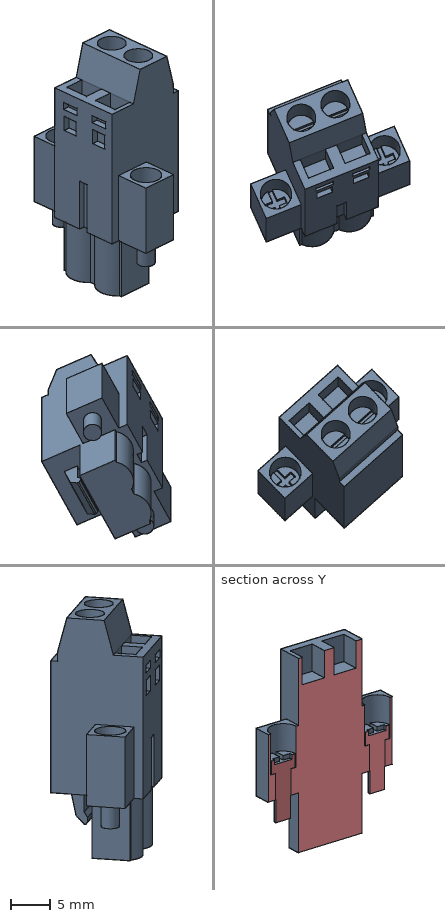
import cadquery as cq


BODY_WIDTH = 10.25
BODY_DEPTH = 12.2
BODY_BOTTOM = 8.35
SHOULDER_Z = 27.25
BODY_TOP = 31.8
REAR_STEP_Z = 25.95
REAR_STEP_DEPTH = 0.92
CREST_FRONT_Y = -0.95
CREST_REAR_Y = 3.98
CREST_FOOT_Y = -2.15
FRONT_Y = -BODY_DEPTH / 2
REAR_Y = BODY_DEPTH / 2

OVERALL_WIDTH = 19.97
FLANGE_WIDTH = (OVERALL_WIDTH - BODY_WIDTH) / 2
FLANGE_DEPTH = 5.1
FLANGE_TOP = 17.87
FLANGE_Y = -2.35
FLANGE_X = (OVERALL_WIDTH - FLANGE_WIDTH) / 2

PLUG_REAR_Y = 0.67
PLUG_FRONT_Y = -4.4
LOBE_BULGE = 1.02
LOBE_WIDTH = 4.45
LOBE_PITCH = 5.15

HOOK_WIDTH = 5.1
HOOK_ROOT_REAR_Y = 4.13
HOOK_FRONT_Y = 2.3
HOOK_BEND_Y = 3.37
HOOK_TIP_REAR_Y = 2.3
HOOK_TIP_FRONT_Y = 2.07
HOOK_NOSE_Y = 1.85
HOOK_THROAT_Z = 5.37
HOOK_BEND_Z = 4.8
HOOK_NOSE_TOP_Z = 4.65
HOOK_NOSE_BOTTOM_Z = 4.1
HOOK_TIP_Z = 3.72

ENTRY_PITCH = 5.1
ENTRY_OFFSET = 0.2
ENTRY_XS = [ENTRY_OFFSET - ENTRY_PITCH / 2, ENTRY_OFFSET + ENTRY_PITCH / 2]
POCKET_WIDTH = 3.5
POCKET_FRONT_Y = -4.9
POCKET_DEPTH = 3.82
WINDOW_DEPTH = 0.92
UPPER_WINDOW_WIDTH = 2.4
UPPER_WINDOW_BOTTOM = 24.7
UPPER_WINDOW_HEIGHT = 1.02
LOWER_WINDOW_WIDTH = 2.13
LOWER_WINDOW_BOTTOM = 21.7
LOWER_WINDOW_HEIGHT = 2.05

CODING_SLOT_WIDTH = 1.3
CODING_SLOT_DEPTH = 0.8
CODING_SLOT_TOP = 15.33

TERMINAL_PITCH = 4.75
TERMINAL_XS = [-TERMINAL_PITCH / 2, TERMINAL_PITCH / 2]
TERMINAL_Y = 1.55
TERMINAL_DIAMETER = 3.7
TERMINAL_RECESS = 4.45
TERMINAL_LENGTH = 3.18
TERMINAL_TOP = BODY_TOP - TERMINAL_RECESS
TERMINAL_BOTTOM = TERMINAL_TOP - TERMINAL_LENGTH
TERMINAL_SLOT_WIDTH = 0.5
DRIVE_DEPTH = 0.65

FLANGE_XS = [-FLANGE_X, FLANGE_X]
COUNTERBORE_DIAMETER = 4.0
HEAD_DIAMETER = 3.88
HEAD_RECESS = 3.82
HEAD_HEIGHT = 1.9
HEAD_TOP = FLANGE_TOP - HEAD_RECESS
HEAD_BOTTOM = HEAD_TOP - HEAD_HEIGHT
SHANK_DIAMETER = 2.35
SHANK_BOTTOM = 5.15
HEAD_SLOT_WIDTH = 0.6
CROSS_LENGTH = 2.75
CROSS_WIDTH = 0.83


def block(x_range, y_range, z_range):
    """Box between the given pairs of limits."""
    (x0, x1), (y0, y1), (z0, z1) = x_range, y_range, z_range
    return cq.Workplane("XY").box(x1 - x0, y1 - y0, z1 - z0, centered=False).translate((x0, y0, z0))


def centred(middle, size):
    """Limits of a stretch of the given size around its middle."""
    return middle - size / 2, middle + size / 2


def cylinder(x, y, diameter, bottom, top):
    """Upright cylinder between two heights."""
    return cq.Workplane("XY", origin=(x, y, bottom)).circle(diameter / 2).extrude(top - bottom)


def side_extrusion(points, width):
    """Closed Y-Z outline extruded along X, centred on the middle plane."""
    return cq.Workplane("YZ").polyline(points).close().extrude(width / 2, both=True)


def make_main_block():
    crest_rear_foot_y = REAR_Y - REAR_STEP_DEPTH
    return side_extrusion([
        (FRONT_Y, BODY_BOTTOM),
        (FRONT_Y, SHOULDER_Z),
        (CREST_FOOT_Y, SHOULDER_Z),
        (CREST_FRONT_Y, BODY_TOP),
        (CREST_REAR_Y, BODY_TOP),
        (crest_rear_foot_y, SHOULDER_Z),
        (crest_rear_foot_y, REAR_STEP_Z),
        (REAR_Y, REAR_STEP_Z),
        (REAR_Y, BODY_BOTTOM),
    ], BODY_WIDTH)


def make_hook():
    return side_extrusion([
        (HOOK_ROOT_REAR_Y, BODY_BOTTOM),
        (HOOK_BEND_Y, HOOK_BEND_Z),
        (HOOK_TIP_REAR_Y, HOOK_TIP_Z),
        (HOOK_TIP_FRONT_Y, HOOK_TIP_Z),
        (HOOK_NOSE_Y, HOOK_NOSE_BOTTOM_Z),
        (HOOK_NOSE_Y, HOOK_NOSE_TOP_Z),
        (HOOK_FRONT_Y, HOOK_THROAT_Z),
        (HOOK_FRONT_Y, BODY_BOTTOM),
    ], HOOK_WIDTH)


def make_plug():
    outline = cq.Workplane("XY").moveTo(-BODY_WIDTH / 2, PLUG_REAR_Y).lineTo(-BODY_WIDTH / 2, PLUG_FRONT_Y)
    for lobe_x in (-LOBE_PITCH / 2, LOBE_PITCH / 2):
        left, right = centred(lobe_x, LOBE_WIDTH)
        outline = outline.lineTo(left, PLUG_FRONT_Y)
        outline = outline.threePointArc((lobe_x, PLUG_FRONT_Y - LOBE_BULGE), (right, PLUG_FRONT_Y))
    outline = outline.lineTo(BODY_WIDTH / 2, PLUG_FRONT_Y).lineTo(BODY_WIDTH / 2, PLUG_REAR_Y)
    return outline.close().extrude(BODY_BOTTOM)


def make_flange(x):
    return block(centred(x, FLANGE_WIDTH), centred(FLANGE_Y, FLANGE_DEPTH), (BODY_BOTTOM, FLANGE_TOP))


def front_recess(x, width, depth, bottom, top):
    """Cutter for a rectangular recess in the front face."""
    return block(centred(x, width), (FRONT_Y, FRONT_Y + depth), (bottom, top))


def make_entry_cutters(x):
    """Cutters for the wire entry pocket and the two test windows of one pole."""
    pocket = block(
        centred(x, POCKET_WIDTH), (POCKET_FRONT_Y, CREST_FOOT_Y), (SHOULDER_Z - POCKET_DEPTH, SHOULDER_Z)
    )
    upper_window = front_recess(
        x, UPPER_WINDOW_WIDTH, WINDOW_DEPTH, UPPER_WINDOW_BOTTOM, UPPER_WINDOW_BOTTOM + UPPER_WINDOW_HEIGHT
    )
    lower_window = front_recess(
        x, LOWER_WINDOW_WIDTH, WINDOW_DEPTH, LOWER_WINDOW_BOTTOM, LOWER_WINDOW_BOTTOM + LOWER_WINDOW_HEIGHT
    )
    return [pocket, upper_window, lower_window]


def make_flange_bore(x):
    """Counterbore for the screw head and through hole for its shank."""
    counterbore = cylinder(x, FLANGE_Y, COUNTERBORE_DIAMETER, HEAD_BOTTOM, FLANGE_TOP)
    return counterbore.union(cylinder(x, FLANGE_Y, SHANK_DIAMETER, BODY_BOTTOM, HEAD_BOTTOM))


def make_housing():
    housing = make_main_block().union(make_plug()).union(make_hook())
    for x in FLANGE_XS:
        housing = housing.union(make_flange(x))
    for x in FLANGE_XS:
        housing = housing.cut(make_flange_bore(x))
    for x in ENTRY_XS:
        for cutter in make_entry_cutters(x):
            housing = housing.cut(cutter)
    for x in TERMINAL_XS:
        housing = housing.cut(cylinder(x, TERMINAL_Y, TERMINAL_DIAMETER, TERMINAL_BOTTOM, BODY_TOP))
    return housing.cut(front_recess(0, CODING_SLOT_WIDTH, CODING_SLOT_DEPTH, BODY_BOTTOM, CODING_SLOT_TOP))


def make_terminal_screw(x):
    """Slotted screw that clamps the wire of one pole."""
    screw = cylinder(x, TERMINAL_Y, TERMINAL_DIAMETER, TERMINAL_BOTTOM, TERMINAL_TOP)
    slot = block(
        centred(x, TERMINAL_DIAMETER),
        centred(TERMINAL_Y, TERMINAL_SLOT_WIDTH),
        (TERMINAL_TOP - DRIVE_DEPTH, TERMINAL_TOP),
    )
    return screw.cut(slot)


def make_flange_screw(x):
    """Fixing screw with a full-width slot crossed by a shorter one."""
    head = cylinder(x, FLANGE_Y, HEAD_DIAMETER, HEAD_BOTTOM, HEAD_TOP)
    screw = head.union(cylinder(x, FLANGE_Y, SHANK_DIAMETER, SHANK_BOTTOM, HEAD_BOTTOM))
    drive_z = (HEAD_TOP - DRIVE_DEPTH, HEAD_TOP)
    slot = block(centred(x, HEAD_SLOT_WIDTH), centred(FLANGE_Y, HEAD_DIAMETER), drive_z)
    cross = block(centred(x, CROSS_LENGTH), centred(FLANGE_Y, CROSS_WIDTH), drive_z)
    return screw.cut(slot).cut(cross)


housing = make_housing()
terminal_screws = [make_terminal_screw(x).val() for x in TERMINAL_XS]
flange_screws = [make_flange_screw(x).val() for x in FLANGE_XS]

result = cq.Compound.makeCompound([housing.val(), *terminal_screws, *flange_screws])